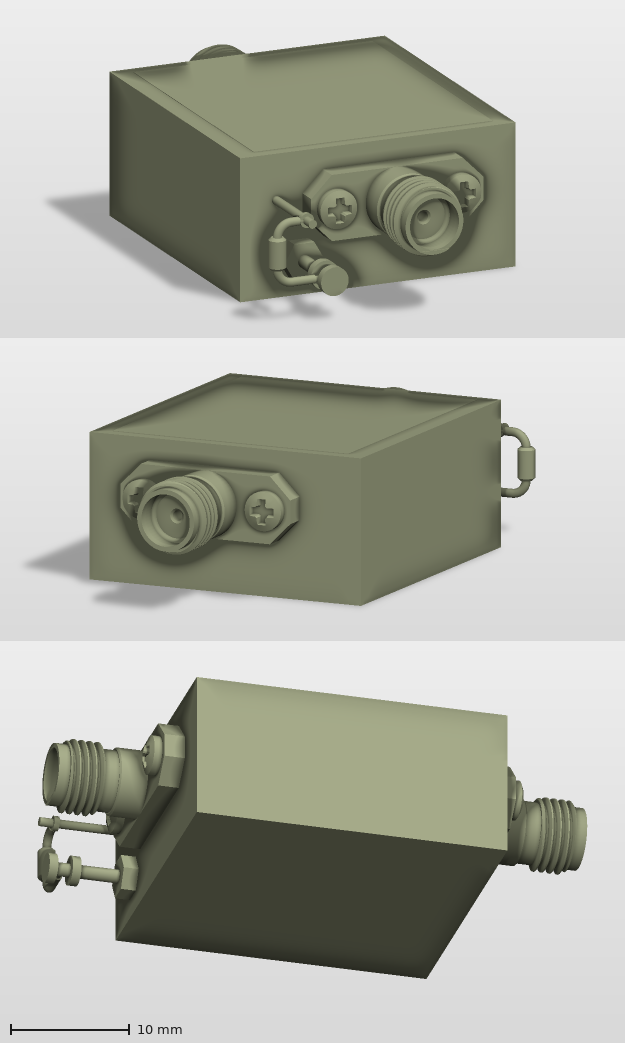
import cadquery as cq
import math

HOUSING_X, HOUSING_Y, HOUSING_Z = 27.2, 25.4, 12.7
LABEL_X, LABEL_Y, LABEL_THICK = 25.0, 22.05, 0.05
LABEL_OFFSET_Y = 0.05

CONNECTOR_Y, CONNECTOR_Z = 1.0, 7.87
FLANGE_LENGTH, FLANGE_HEIGHT, FLANGE_THICK = 15.9, 5.84, 1.8
FLANGE_CORNER = 1.9
BARREL_DIA, BARREL_LENGTH, BARREL_CHAMFER = 5.84, 2.45, 0.15
NOSE_DIA, CONNECTOR_REACH = 5.33, 9.51
BORE_DIA, BORE_DEPTH = 4.52, 1.9
FLOOR_DIA, FLOOR_TAPER_DEPTH = 3.85, 0.3
CONTACT_DIA, CONTACT_HOLE_DIA, CONTACT_HOLE_DEPTH = 1.27, 0.91, 2.0

THREAD_MAJOR_DIA, THREAD_PITCH = 6.35, 25.4 / 36
THREAD_CREST, THREAD_ROOT, THREAD_OVERLAP = 0.12, 0.64, 0.1
THREAD_TIP_GAP, THREAD_LENGTH, THREAD_END_CHAMFER = 0.98, 3.04, 0.3
THREAD_CREST_GAP = 1.91
TURNS_BELOW_CREST, TURNS_ABOVE_CREST = 4, 2

LIP_PROUD, LIP_TOP_DROP = 0.11, 2.3

SCREW_SPACING, SCREW_DIA = 11.43, 3.39
SCREW_SIDE, SCREW_DOME = 0.7, 0.48
CROSS_SPAN, CROSS_WIDTH, CROSS_CORE_DIA = 2.3, 0.85, 1.35
CROSS_DEPTH, CROSS_TAPER = 0.75, 10

TERMINAL_REACH = 7.62
PIN_DIA, PIN_Y, PIN_Z = 0.76, -9.38, 8.6
TURRET_Y, TURRET_Z = -7.35, 3.3
TURRET_DIA, TURRET_FLANGE_DIA = 1.17, 2.54
TURRET_INNER_FLANGE, TURRET_GAP, TURRET_OUTER_FLANGE = 0.76, 1.27, 0.76
NUT_ACROSS_FLATS, NUT_THICK = 3.2, 1.3

COMPONENT_DIA, COMPONENT_BOTTOM, COMPONENT_TOP = 1.52, 4.55, 7.42
COMPONENT_CHAMFER = 0.22
COMPONENT_Y = -12.04
LEAD_DIA, LEAD_TIP_DIA = 0.76, 0.51
LEAD_BEND = 1.3
LOOP_DIA, LOOP_WIDTH = 1.27, 0.47
UPPER_TIP_LENGTH = 0.73
LOWER_TIP_LENGTH = 1.25

FACE_X = HOUSING_X / 2
TERMINAL_END_X = FACE_X + TERMINAL_REACH
GROOVE_X = TERMINAL_END_X - TURRET_OUTER_FLANGE - TURRET_GAP / 2


def rod(dia, length, start=0.0):
    """Cylinder along local Z."""
    return cq.Workplane("XY").workplane(offset=start).circle(dia / 2).extrude(length)


def make_housing():
    """Plain block with a thin label plate on top."""
    box = cq.Workplane("XY").box(HOUSING_X, HOUSING_Y, HOUSING_Z, centered=(True, True, False))
    label = (
        cq.Workplane("XY", origin=(0, LABEL_OFFSET_Y, HOUSING_Z))
        .rect(LABEL_X, LABEL_Y)
        .extrude(LABEL_THICK)
    )
    return box.union(label)


def make_thread():
    """Helical ridge around local Z, seated slightly inside the nose."""
    ridge_base = NOSE_DIA / 2 - THREAD_OVERLAP
    height = (TURNS_BELOW_CREST + TURNS_ABOVE_CREST) * THREAD_PITCH
    start = CONNECTOR_REACH - THREAD_CREST_GAP - TURNS_BELOW_CREST * THREAD_PITCH
    path = cq.Wire.makeHelix(THREAD_PITCH, height, ridge_base)
    ridge = (
        cq.Workplane("XZ")
        .moveTo(ridge_base, -THREAD_ROOT / 2)
        .lineTo(THREAD_MAJOR_DIA / 2, -THREAD_CREST / 2)
        .lineTo(THREAD_MAJOR_DIA / 2, THREAD_CREST / 2)
        .lineTo(ridge_base, THREAD_ROOT / 2)
        .close()
        .sweep(cq.Workplane(path), isFrenet=True)
        .translate((0, 0, start))
    )
    trim_bottom = CONNECTOR_REACH - THREAD_TIP_GAP - THREAD_LENGTH
    envelope = rod(THREAD_MAJOR_DIA + THREAD_OVERLAP, THREAD_LENGTH, trim_bottom)
    return ridge.intersect(envelope.faces("<Z or >Z").chamfer(THREAD_END_CHAMFER))


def make_screw_head():
    """Domed head on local Z = 0 with a tapered cross recess."""
    radius = SCREW_DIA / 2
    height = SCREW_SIDE + SCREW_DOME
    sphere_radius = (radius**2 + SCREW_DOME**2) / (2 * SCREW_DOME)
    mid_r = radius / 2
    mid_z = height - sphere_radius + math.sqrt(sphere_radius**2 - mid_r**2)
    head = (
        cq.Workplane("XZ")
        .lineTo(radius, 0)
        .lineTo(radius, SCREW_SIDE)
        .threePointArc((mid_r, mid_z), (0, height))
        .close()
        .revolve(360, (0, 0, 0), (0, 1, 0))
    )
    top = cq.Workplane("XY").workplane(offset=height)
    for size in ((CROSS_SPAN, CROSS_WIDTH), (CROSS_WIDTH, CROSS_SPAN)):
        head = head.cut(top.rect(*size).extrude(-CROSS_DEPTH, taper=CROSS_TAPER))
    return head.cut(top.circle(CROSS_CORE_DIA / 2).extrude(-CROSS_DEPTH, taper=CROSS_TAPER))


def make_connector():
    """Connector pointing along local +Z; flange length along local Y, height along local X."""
    flange = (
        cq.Workplane("XY")
        .rect(FLANGE_HEIGHT, FLANGE_LENGTH)
        .extrude(FLANGE_THICK)
        .edges("|Z")
        .chamfer(FLANGE_CORNER)
    )
    barrel = rod(BARREL_DIA, BARREL_LENGTH, FLANGE_THICK).faces(">Z").chamfer(BARREL_CHAMFER)
    connector = flange.union(barrel).union(rod(NOSE_DIA, CONNECTOR_REACH)).union(make_thread())

    bore_end = CONNECTOR_REACH - BORE_DEPTH
    floor = bore_end - FLOOR_TAPER_DEPTH
    sink_depth = (CONTACT_DIA - CONTACT_HOLE_DIA) / 2
    hole_end = floor - CONTACT_HOLE_DEPTH
    socket = (
        cq.Workplane("XZ")
        .moveTo(0, CONNECTOR_REACH)
        .lineTo(BORE_DIA / 2, CONNECTOR_REACH)
        .lineTo(BORE_DIA / 2, bore_end)
        .lineTo(FLOOR_DIA / 2, floor)
        .lineTo(CONTACT_DIA / 2, floor)
        .lineTo(CONTACT_HOLE_DIA / 2, floor - sink_depth)
        .lineTo(CONTACT_HOLE_DIA / 2, hole_end)
        .lineTo(0, hole_end)
        .close()
        .revolve(360, (0, 0, 0), (0, 1, 0))
    )
    connector = connector.cut(socket)

    for side in (-1, 1):
        screw = make_screw_head().translate((0, side * SCREW_SPACING / 2, FLANGE_THICK))
        connector = connector.union(screw)
    return connector


def place_connector(connector, direction):
    """Turn local +Z to the +X (1) or -X (-1) direction and seat it on that housing face."""
    turned = connector.rotate((0, 0, 0), (0, 1, 0), direction * 90)
    return turned.translate((direction * FACE_X, CONNECTOR_Y, CONNECTOR_Z))


def make_rim_lip():
    """Segment of the output connector's rim, below a level chord."""
    rim_x = FACE_X + CONNECTOR_REACH
    ring = (
        cq.Workplane("YZ", origin=(rim_x, CONNECTOR_Y, CONNECTOR_Z))
        .circle(NOSE_DIA / 2)
        .circle(BORE_DIA / 2)
        .extrude(LIP_PROUD)
    )
    below = cq.Workplane("XY", origin=(rim_x, CONNECTOR_Y, CONNECTOR_Z - LIP_TOP_DROP))
    return ring.intersect(below.rect(NOSE_DIA, NOSE_DIA).extrude(-NOSE_DIA))


def x_rod(dia, y, z, x_start, x_end):
    """Cylinder along X between two X positions."""
    return cq.Workplane("YZ", origin=(x_start, y, z)).circle(dia / 2).extrude(x_end - x_start)


def make_terminals():
    """Plain pin, and a flanged turret terminal with its hexagonal nut."""
    pin = x_rod(PIN_DIA, PIN_Y, PIN_Z, FACE_X, TERMINAL_END_X)
    turret = x_rod(TURRET_DIA, TURRET_Y, TURRET_Z, FACE_X, TERMINAL_END_X)
    outer_flange_x = TERMINAL_END_X - TURRET_OUTER_FLANGE
    inner_flange_x = outer_flange_x - TURRET_GAP - TURRET_INNER_FLANGE
    for start, width in (
        (inner_flange_x, TURRET_INNER_FLANGE),
        (outer_flange_x, TURRET_OUTER_FLANGE),
    ):
        turret = turret.union(x_rod(TURRET_FLANGE_DIA, TURRET_Y, TURRET_Z, start, start + width))
    nut = (
        cq.Workplane("YZ", origin=(FACE_X, TURRET_Y, TURRET_Z))
        .polygon(6, NUT_ACROSS_FLATS / math.cos(math.pi / 6))
        .extrude(NUT_THICK)
    )
    return pin.union(turret).union(nut)


def bent_lead(end_z, end_y, start_z):
    """Round lead leaving the component vertically and bending 90 degrees toward +Y."""
    toward = math.copysign(1, end_z - start_z)
    bend_start_z = end_z - toward * LEAD_BEND
    diagonal = LEAD_BEND * (1 - math.cos(math.pi / 4))
    path = (
        cq.Workplane("YZ", origin=(GROOVE_X, 0, 0))
        .moveTo(COMPONENT_Y, start_z)
        .lineTo(COMPONENT_Y, bend_start_z)
        .threePointArc(
            (COMPONENT_Y + diagonal, end_z - toward * diagonal),
            (COMPONENT_Y + LEAD_BEND, end_z),
        )
        .lineTo(end_y, end_z)
    )
    profile = cq.Workplane("XY", origin=(GROOVE_X, COMPONENT_Y, start_z)).circle(LEAD_DIA / 2)
    return profile.sweep(path)


def make_wired_component():
    """Upright cylinder with bent leads; a loop of the upper one rings the pin."""
    length = COMPONENT_TOP - COMPONENT_BOTTOM
    body = (
        rod(COMPONENT_DIA, length, COMPONENT_BOTTOM)
        .faces("<Z or >Z")
        .chamfer(COMPONENT_CHAMFER)
        .translate((GROOVE_X, COMPONENT_Y, 0))
    )
    mid_z = (COMPONENT_TOP + COMPONENT_BOTTOM) / 2
    upper = bent_lead(PIN_Z, PIN_Y - UPPER_TIP_LENGTH, mid_z)
    lower = bent_lead(TURRET_Z, TURRET_Y - LOWER_TIP_LENGTH, mid_z)
    lower_tip = (
        cq.Workplane("XZ", origin=(GROOVE_X, TURRET_Y, TURRET_Z))
        .circle(LEAD_TIP_DIA / 2)
        .extrude(LOWER_TIP_LENGTH)
    )
    half_width = LOOP_WIDTH / 2
    loop = x_rod(LOOP_DIA, PIN_Y, PIN_Z, GROOVE_X - half_width, GROOVE_X + half_width)
    upper_tip = (
        cq.Workplane("XZ", origin=(GROOVE_X, PIN_Y, PIN_Z))
        .circle(LEAD_TIP_DIA / 2)
        .extrude(UPPER_TIP_LENGTH)
    )
    return body.union(upper).union(lower).union(lower_tip).union(loop).union(upper_tip)


connector = make_connector()
result = make_housing()
for direction in (-1, 1):
    result = result.union(place_connector(connector, direction))
result = result.union(make_rim_lip()).union(make_terminals()).union(make_wired_component())